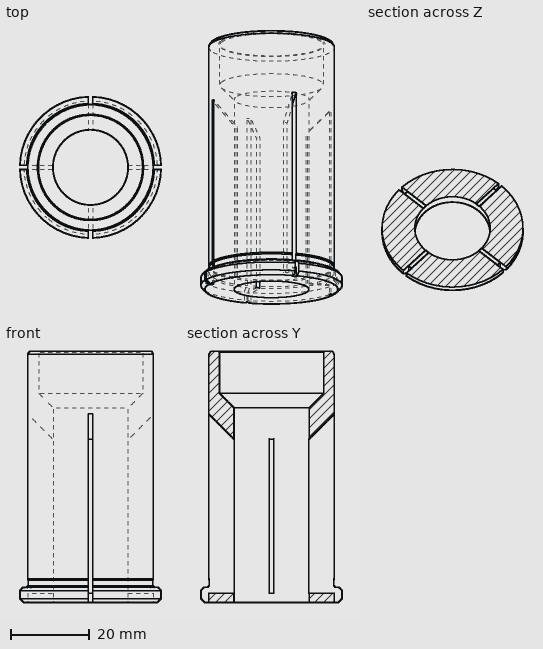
import cadquery as cq

height = 64.0
body_radius = 32.0 / 2
bore_radius = 19.1 / 2
top_chamfer = 0.8
top_chamfer_inset = 0.45
edge_rounding = 0.5

flange_radius = 36.0 / 2
flange_bottom_chamfer = 1.0
flange_shoulder_radius = 17.15
flange_shoulder_height = 4.0
flange_rim_top = 3.1
groove_radius = 15.9
groove_top = 6.1
groove_bevel = 0.4

counterbore_radius = 26.5 / 2
counterbore_depth = 10.7
mouth_chamfer = 0.25
cone_top = height - counterbore_depth
cone_bottom = cone_top - (counterbore_radius - bore_radius)

slot_count = 4
slot_width = 1.0
slot_top = 48.0
foot_web_height = 2.4
slot_inner_top = slot_top - (body_radius - bore_radius)
slot_reach = flange_radius + 0.65


def round_edge(solid, radius, level):
    """Round the circular edge with this radius at this height."""
    tolerance = 0.005

    def is_wanted(edge):
        return (
            edge.geomType() == "CIRCLE"
            and abs(edge.radius() - radius) < tolerance
            and abs(edge.Center().z - level) < tolerance
        )

    return solid.edges().filter(is_wanted).fillet(edge_rounding)


def make_sleeve():
    """Revolve the wall section around Z, then round the chamfers into the flat faces."""
    section = [
        (bore_radius, 0),
        (flange_radius - flange_bottom_chamfer, 0),
        (flange_radius, flange_bottom_chamfer),
        (flange_radius, flange_rim_top),
        (flange_shoulder_radius, flange_shoulder_height),
        (groove_radius + groove_bevel, flange_shoulder_height),
        (groove_radius, flange_shoulder_height + groove_bevel),
        (groove_radius, groove_top - groove_bevel),
        (body_radius, groove_top),
        (body_radius, height - top_chamfer),
        (body_radius - top_chamfer_inset, height),
        (counterbore_radius + mouth_chamfer, height),
        (counterbore_radius, height - mouth_chamfer),
        (counterbore_radius, cone_top),
        (bore_radius, cone_bottom),
    ]
    sleeve = cq.Workplane("XZ").polyline(section).close().revolve(360, (0, 0, 0), (0, 1, 0))
    sleeve = round_edge(sleeve, body_radius - top_chamfer_inset, height)
    sleeve = round_edge(sleeve, flange_shoulder_radius, flange_shoulder_height)
    return sleeve


def make_slot():
    """Slot cutter along +X: open through the wall, but only through the rim at the foot."""
    slot_bottom = -0.65
    overrun = 1.3
    outline = [
        (bore_radius - overrun, foot_web_height),
        (body_radius, foot_web_height),
        (body_radius, slot_bottom),
        (slot_reach, slot_bottom),
        (slot_reach, slot_top),
        (body_radius, slot_top),
        (bore_radius, slot_inner_top),
        (bore_radius - overrun, slot_inner_top - overrun),
    ]
    return cq.Workplane("XZ").polyline(outline).close().extrude(slot_width / 2, both=True)


result = make_sleeve()
for index in range(slot_count):
    angle = index * 360 / slot_count
    result = result.cut(make_slot().rotate((0, 0, 0), (0, 0, 1), angle))